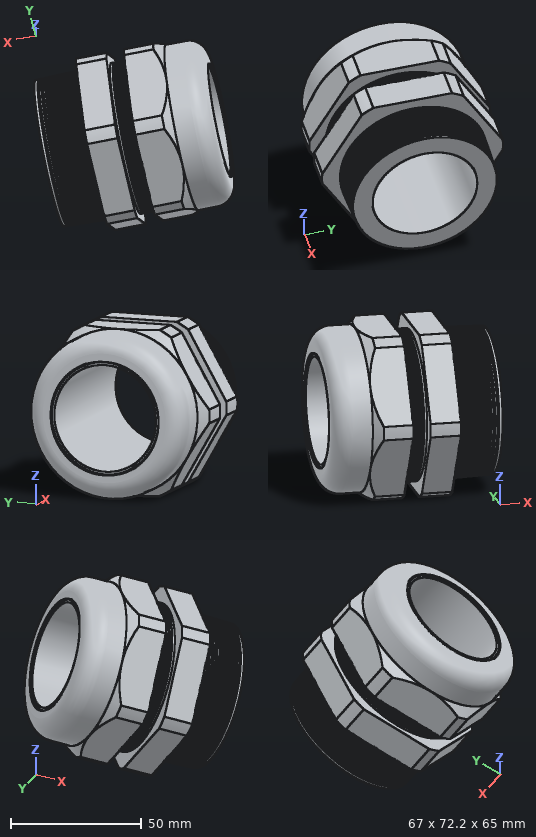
import cadquery as cq
import math


length = 67.0
corner_diameter = 72.15
across_flats = 65.0
bore_radius = 20.85

nut_length = 30.15
nut_dome_length = 15.0
nut_front_round = 7.2
nut_mouth_radius = 22.2

sleeve_radius = 21.9
sleeve_recess = 0.5
flange_start = 37.0
flange_end = 49.0

thread_pitch = 1.6
groove_half_angle = 30.0
nut_thread_radius = 29.6
nut_groove_depth = 0.9
nut_groove_count = 4
nut_groove_first = 30.65

end_thread_start_radius = 29.2
end_thread_end_radius = 28.7
end_thread_root_radius = 28.2
end_groove_count = 10
end_groove_first = 51.0
neck_round = end_thread_start_radius - end_thread_root_radius


def revolve_about_x(profile):
    """Revolve a profile drawn as (x, radius) about the X axis."""
    return profile.close().revolve(360, (0, 0, 0), (1, 0, 0))


def cylinder(start, end, radius):
    return cq.Workplane("YZ", origin=(start, 0, 0)).circle(radius).extrude(end - start)


def hexagon(start, end):
    """Hexagonal prism with flats at the top and bottom and its corners turned round."""
    point_diameter = across_flats / math.cos(math.radians(30))
    prism = cq.Workplane("YZ", origin=(start, 0, 0)).polygon(6, point_diameter).extrude(end - start)
    return prism.intersect(cylinder(start, end, corner_diameter / 2))


def nut_envelope():
    """Outer limit of the nut: rounded front, then a 45 degree cone over the hexagon corners."""
    dome_radius = across_flats / 2
    corner_radius = corner_diameter / 2
    cone_length = corner_radius - dome_radius
    arc_reach = nut_front_round * math.sin(math.radians(45))
    profile = (
        cq.Workplane("XY")
        .lineTo(0, dome_radius - nut_front_round)
        .threePointArc(
            (nut_front_round - arc_reach, dome_radius - nut_front_round + arc_reach),
            (nut_front_round, dome_radius),
        )
        .lineTo(nut_dome_length, dome_radius)
        .lineTo(nut_dome_length + cone_length, corner_radius)
        .lineTo(nut_length, corner_radius)
        .lineTo(nut_length, 0)
    )
    return revolve_about_x(profile)


def make_cap_nut():
    blank = cylinder(0, nut_dome_length, across_flats / 2).union(hexagon(nut_dome_length, nut_length))
    nut = blank.intersect(nut_envelope())
    mouth = cylinder(0, nut_dome_length, nut_mouth_radius)
    thread_hole = cylinder(nut_dome_length, nut_length, nut_thread_radius)
    return nut.cut(mouth).cut(thread_hole)


def cut_thread(solid, first_root, count, root_radius, outer_radius):
    """Cut a row of V-groove rings, one pitch apart, with their roots at root_radius."""
    half_width = (outer_radius - root_radius) * math.tan(math.radians(groove_half_angle))
    for index in range(count):
        root = first_root + index * thread_pitch
        profile = (
            cq.Workplane("XY")
            .moveTo(root, root_radius)
            .lineTo(root + half_width, outer_radius)
            .lineTo(root - half_width, outer_radius)
        )
        solid = solid.cut(revolve_about_x(profile))
    return solid


def make_end_thread():
    """Tapered connection thread with a rounded run-out next to the flange."""
    arc_reach = neck_round * math.sin(math.radians(45))
    profile = (
        cq.Workplane("XY")
        .moveTo(flange_end, 0)
        .lineTo(flange_end, end_thread_root_radius)
        .threePointArc(
            (flange_end + arc_reach, end_thread_root_radius + neck_round - arc_reach),
            (flange_end + neck_round, end_thread_start_radius),
        )
        .lineTo(length, end_thread_end_radius)
        .lineTo(length, 0)
    )
    return cut_thread(
        revolve_about_x(profile),
        end_groove_first,
        end_groove_count,
        end_thread_root_radius,
        end_thread_start_radius,
    )


def make_nut_thread():
    """Threaded spigot that fills the nut's hole and shows between nut and flange."""
    return cut_thread(
        cylinder(nut_dome_length, flange_start, nut_thread_radius),
        nut_groove_first,
        nut_groove_count,
        nut_thread_radius - nut_groove_depth,
        nut_thread_radius,
    )


def make_gland_body():
    sleeve = cylinder(sleeve_recess, nut_dome_length, sleeve_radius)
    flange = hexagon(flange_start, flange_end)
    body = sleeve.union(make_nut_thread()).union(flange).union(make_end_thread())
    return body.cut(cylinder(sleeve_recess, length, bore_radius))


cap_nut = make_cap_nut()
gland_body = make_gland_body()

result = cq.Compound.makeCompound([cap_nut.val(), gland_body.val()])